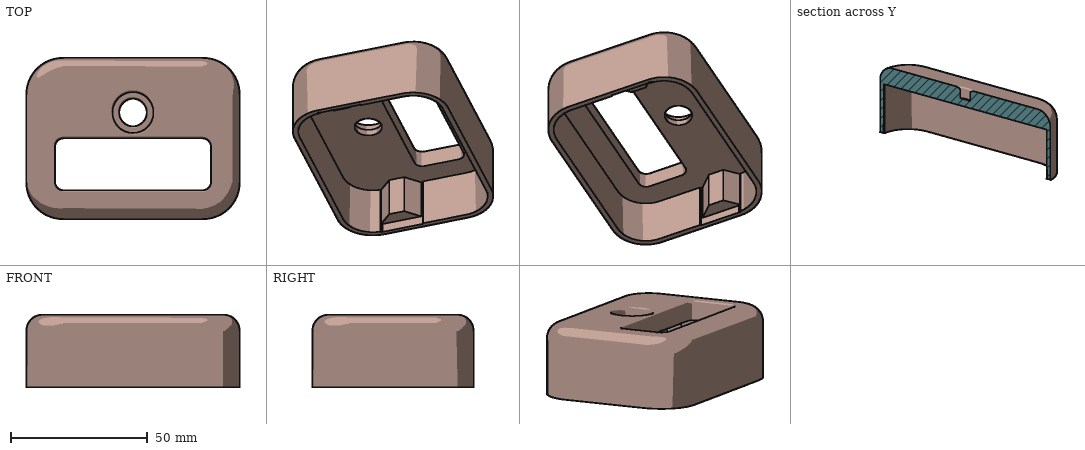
import cadquery as cq

LENGTH = 78.15
WIDTH = 59.1
HEIGHT = 26.64
CORNER_RADIUS = 13.5
TOP_EDGE_RADIUS = 6.0

PLATE_THICKNESS = 7.3
WALL = 2.0

OPENING_FILLET = 1.0

WINDOW_LENGTH = 57.0
WINDOW_WIDTH = 18.9
WINDOW_CORNER_RADIUS = 3.0
WINDOW_Y = -9.45

HOLE_Y = 9.5
HOLE_DIAMETER = 10.0
COUNTERBORE_DIAMETER = 15.0
COUNTERBORE_DEPTH = 4.2

POST_Y = 9.1
POST_DEPTH = 4.9
POST_FACE_WIDTH = 5.8
POST_BOTTOM = 3.6
RECESS_DEPTH = 0.35
RECESS_Y = 8.65
RECESS_FLOOR_WIDTH = 16.0

PLATE_BOTTOM = HEIGHT - PLATE_THICKNESS
RECESS_X = LENGTH / 2 - WALL + RECESS_DEPTH


def rounded_block(length, width, radius, bottom, top):
    """Upright block centred on the Z axis, with rounded vertical edges."""
    block = cq.Workplane("XY").workplane(offset=bottom).rect(length, width).extrude(top - bottom)
    return block.edges("|Z").fillet(radius)


def shell():
    """Rounded cap, hollow below its top plate and open at the bottom."""
    cap = rounded_block(LENGTH, WIDTH, CORNER_RADIUS, 0, HEIGHT)
    cap = cap.faces(">Z").edges().fillet(TOP_EDGE_RADIUS)
    cavity = rounded_block(
        LENGTH - 2 * WALL, WIDTH - 2 * WALL, CORNER_RADIUS - WALL, 0, PLATE_BOTTOM
    )
    return cap.cut(cavity)


def trapezoid_prism(side, center_y, inner_x, inner_width, outer_x, outer_width, bottom):
    """Trapezoid prism below the plate; side is +1 for the +X wall and -1 for the -X wall."""
    outline = [
        (side * inner_x, center_y - inner_width / 2),
        (side * inner_x, center_y + inner_width / 2),
        (side * outer_x, center_y + outer_width / 2),
        (side * outer_x, center_y - outer_width / 2),
    ]
    base = cq.Workplane("XY").workplane(offset=bottom)
    return base.polyline(outline).close().extrude(PLATE_BOTTOM - bottom)


def wall_recess(side):
    """Shallow recess in an end wall, with 45 degree ends."""
    mouth_x = RECESS_X - RECESS_DEPTH
    mouth_width = RECESS_FLOOR_WIDTH + 2 * RECESS_DEPTH
    return trapezoid_prism(side, RECESS_Y, mouth_x, mouth_width, RECESS_X, RECESS_FLOOR_WIDTH, 0)


def post(side):
    """Post rooted on the recess floor, narrowing inward at 45 degrees."""
    face_x = RECESS_X - POST_DEPTH
    root_width = POST_FACE_WIDTH + 2 * POST_DEPTH
    return trapezoid_prism(side, POST_Y, face_x, POST_FACE_WIDTH, RECESS_X, root_width, POST_BOTTOM)


def cut_window(body):
    """Cut the rectangular window through the top plate."""
    window = rounded_block(WINDOW_LENGTH, WINDOW_WIDTH, WINDOW_CORNER_RADIUS, 0, HEIGHT)
    return body.cut(window.translate((0, WINDOW_Y, 0)))


def stepped_hole():
    """Revolved cutter for the counterbored hole, with both of its rims flared by a fillet."""
    hole_radius = HOLE_DIAMETER / 2
    bore_radius = COUNTERBORE_DIAMETER / 2
    seat = HEIGHT - COUNTERBORE_DEPTH
    bend = OPENING_FILLET * (1 - 0.5 ** 0.5)
    profile = (
        cq.Workplane("XZ")
        .moveTo(0, 0)
        .lineTo(hole_radius, 0)
        .lineTo(hole_radius, seat - OPENING_FILLET)
        .threePointArc((hole_radius + bend, seat - bend), (hole_radius + OPENING_FILLET, seat))
        .lineTo(bore_radius, seat)
        .lineTo(bore_radius, HEIGHT - OPENING_FILLET)
        .threePointArc((bore_radius + bend, HEIGHT - bend), (bore_radius + OPENING_FILLET, HEIGHT))
        .lineTo(0, HEIGHT)
        .close()
    )
    return profile.revolve(360, (0, 0, 0), (0, 1, 0)).translate((0, HOLE_Y, 0))


def round_window_rim(body):
    """Round over the upper edge of the window."""
    rim = cq.selectors.BoxSelector(
        (-WINDOW_LENGTH, WINDOW_Y - WINDOW_WIDTH / 2 - OPENING_FILLET / 2, HEIGHT - OPENING_FILLET / 2),
        (WINDOW_LENGTH, WINDOW_Y + WINDOW_WIDTH / 2 + OPENING_FILLET / 2, HEIGHT + OPENING_FILLET / 2),
    )
    return body.edges(rim).fillet(OPENING_FILLET)


result = round_window_rim(cut_window(shell()))
for wall_side in (-1, 1):
    result = result.cut(wall_recess(wall_side))
    result = result.union(post(wall_side))
result = result.cut(stepped_hole())